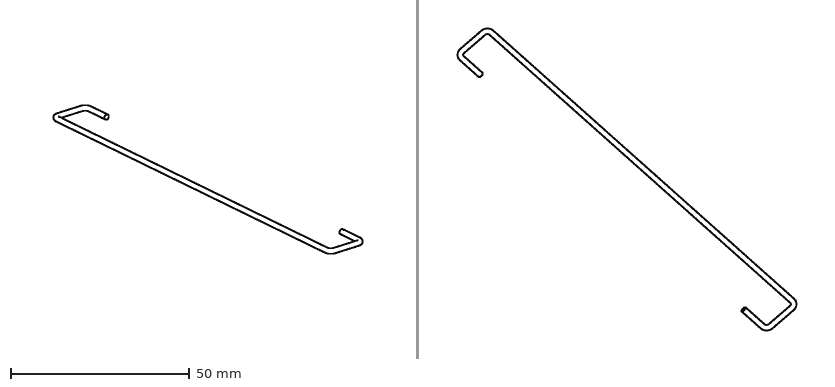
import cadquery as cq

overall_length = 125.0
overall_depth = 13.2
wire_diameter = 1.6
hook_length = 10.0
bend_radius = 1.6

wire_radius = wire_diameter / 2
half_span = overall_length / 2 - wire_radius
half_depth = overall_depth / 2 - wire_radius
tip_x = overall_length / 2 - hook_length
straight_x = half_span - bend_radius
straight_y = half_depth - bend_radius

centreline = (
    cq.Workplane("XY")
    .moveTo(-tip_x, half_depth)
    .lineTo(-straight_x, half_depth)
    .tangentArcPoint((-half_span, straight_y), relative=False)
    .lineTo(-half_span, -straight_y)
    .tangentArcPoint((-straight_x, -half_depth), relative=False)
    .lineTo(straight_x, -half_depth)
    .tangentArcPoint((half_span, -straight_y), relative=False)
    .lineTo(half_span, straight_y)
    .tangentArcPoint((straight_x, half_depth), relative=False)
    .lineTo(tip_x, half_depth)
)

result = (
    cq.Workplane("YZ", origin=(-tip_x, half_depth, 0))
    .circle(wire_radius)
    .sweep(centreline)
)